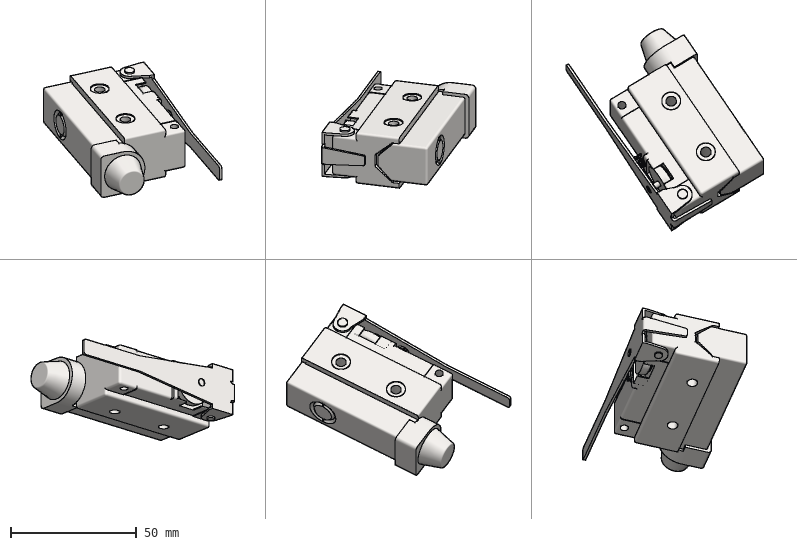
import cadquery as cq
import math


body_length = 54.5
edge_radius = 0.95
wide_half = 11.01
wide_bottom = 11.8
wide_top = 29.9
neck_half = 8.5
neck_low_top = 38.3
neck_tall_top = 39.5
neck_root = wide_top - 4.0
tall_length = 27.3
side_recess = 0.3
recess_start = 9.1
recess_end = 45.5

cover_half = 8.2
arrow_shoulder = 14.5
arrow_tip = 20.6
arrow_tip_half = 2.15
groove_half = 8.6
groove_tip = 21.8
groove_tip_half = 2.4
groove_depth = 1.9

knockout_x = 17.25
knockout_outer_radius = 6.05
knockout_valley_radius = 4.9
knockout_inner_radius = 4.05
knockout_depth = 1.1
knockout_web = 0.5

mount_hole_x = (14.5, 40.1)
mount_hole_y = 18.4
mount_hole_radius = 2.1
mount_recess_radius = 3.7
mount_recess_depth = 0.5
end_hole_x = 49.8
end_hole_y = 35.4
end_hole_radius = 1.6

gland_start = 51.9
gland_end = 61.5
gland_radius = 9.55
gland_axis_y = 7.95
gland_corner_radius = 1.6
gland_skirt_top = 9.3
nut_end = 70.6
nut_base_radius = 7.9
nut_tip_radius = 5.4
nut_edge_radius = 0.6

button_x = 16.5
button_slot_width = 7.55
button_slot_floor = 34.7
button_mouth_radius = 0.8
button_radius = 7.6
button_post_radius = 5.7
button_bottom = 35.2
button_top = 39.0
button_edge_radius = 1.7
button_pocket_length = 17.0
button_pocket_wall = 0.5

sheet = 1.0
lever_top = 43.7
lever_bottom = lever_top - sheet
lever_end = 78.0
lever_tip_half = 3.25
lever_taper_start_half = 7.7
lever_taper_end = 48.7
lever_corner_radius = 1.1
ear_outer = neck_half + sheet
ear_width = 10.65
ear_straight_bottom = 41.5
pivot_x = 4.6
pivot_y = 35.6
ear_radius = 3.8
pivot_heads = ((1, 2.0), (-1, 1.6))
pivot_head_height = 0.6

tongue_left = -1.5
tongue_end = 25.6
tongue_root_half = 3.5
tongue_tip_half = 2.1
tongue_tip_radius = 0.6
tongue_taper_start = 41.7
tongue_relief = 0.95
bend_outer_radius = 1.2

screw_stem_radius = 1.23
screw_head_radius = 2.15
screw_head_height = 0.95
screw_rivet_radius = 1.5
screw_rivet_height = 0.3

spring_x = 28.55
spring_outer_radius = 2.7
spring_wire_radius = 0.3
spring_pitch = 1.35
spring_well_clearance = 0.15


def block(x0, x1, y0, y1, half):
    """Box between two X and two Y values, symmetric about the middle plane."""
    box = cq.Workplane("XY").box(x1 - x0, y1 - y0, 2 * half, centered=(False, False, True))
    return box.translate((x0, y0, 0))


def post(x, z, y0, y1, radius):
    """Cylinder standing along Y."""
    return cq.Workplane(cq.Solid.makeCylinder(radius, y1 - y0, cq.Vector(x, y0, z), cq.Vector(0, 1, 0)))


def bore(x, y, z0, z1, radius):
    """Cylinder lying along Z."""
    return cq.Workplane(cq.Solid.makeCylinder(radius, z1 - z0, cq.Vector(x, y, z0), cq.Vector(0, 0, 1)))


def along_x(profile, x0, x1):
    """Extrude a closed list of (y, z) points from x0 to x1."""
    return cq.Workplane("YZ").polyline(profile).close().extrude(x1 - x0).translate((x0, 0, 0))


def arrow_profile(bottom, half, shoulder, tip, tip_half):
    """Points (y, z) of a rectangle that narrows to a flat tip."""
    return [
        (bottom, -half),
        (shoulder, -half),
        (tip, -tip_half),
        (tip, tip_half),
        (shoulder, half),
        (bottom, half),
    ]


def neck_slab(x0, x1, top, half):
    """Part of the neck; rounded on top and at those ends that are ends of the housing."""
    slab = block(x0, x1, neck_root, top, half)
    rounded = slab.edges(">Y and (>Z or <Z)")
    if x0 == 0:
        rounded = rounded.add(slab.edges("<X").edges("not <Y"))
    if x1 == body_length:
        rounded = rounded.add(slab.edges(">X").edges("not <Y"))
    return rounded.fillet(edge_radius)


def make_neck():
    """Narrow upper housing: a core with slightly raised pads at both ends."""
    core_half = neck_half - side_recess
    neck = neck_slab(0, body_length, neck_low_top, core_half)
    neck = neck.union(neck_slab(0, tall_length, neck_tall_top, core_half))
    neck = neck.union(neck_slab(0, recess_start, neck_tall_top, neck_half))
    return neck.union(neck_slab(recess_end, body_length, neck_low_top, neck_half))


def make_wide_block():
    """Middle of the housing, rounded everywhere except along its lower face."""
    wide = block(0, body_length, wide_bottom, wide_top, wide_half)
    return wide.faces("not <Y").edges("not <Y").fillet(edge_radius)


def make_cover_groove():
    """Recess in the housing end that leaves a gap around the cover's end."""
    profile = arrow_profile(wide_bottom, groove_half, arrow_shoulder, groove_tip, groove_tip_half)
    return along_x(profile, 0, groove_depth)


def make_cover():
    """Lower cover with an arrow-shaped section."""
    profile = arrow_profile(0, cover_half, arrow_shoulder, arrow_tip, arrow_tip_half)
    cover = along_x(profile, 0, body_length)
    long_edges = cover.edges("|X and <Y")
    end_edges = cover.faces("<X").edges("<Y or <Z or >Z")
    return long_edges.add(end_edges).fillet(edge_radius)


def make_knockout_groove():
    """V-shaped ring groove in the cover's lower face, bridged by two webs."""
    section = [
        (knockout_inner_radius, 0),
        (knockout_outer_radius, 0),
        (knockout_valley_radius, knockout_depth),
    ]
    ring = cq.Workplane("XY").polyline(section).close().revolve(360, (0, 0, 0), (0, 1, 0))
    web_half = knockout_web / 2
    webs = block(-web_half, web_half, 0, knockout_depth, knockout_outer_radius)
    return ring.cut(webs).translate((knockout_x, 0, 0))


def make_gland():
    """Round-topped gland block hooked under the housing end, with a conical nut."""
    gland_bottom = gland_axis_y - gland_radius
    lower = block(gland_start, gland_end, gland_bottom, gland_axis_y, gland_radius)
    lower = lower.edges("|X and <Y").fillet(gland_corner_radius)
    axis_start = cq.Vector(gland_start, gland_axis_y, 0)
    axis = cq.Vector(1, 0, 0)
    barrel = cq.Solid.makeCylinder(gland_radius, gland_end - gland_start, axis_start, axis)
    above_skirt = block(gland_start, body_length, gland_skirt_top, gland_axis_y + gland_radius, gland_radius)
    nut_start = cq.Vector(gland_end, gland_axis_y, 0)
    cone = cq.Solid.makeCone(nut_base_radius, nut_tip_radius, nut_end - gland_end, nut_start, axis)
    nut = cq.Workplane(cone).faces(">X").edges().fillet(nut_edge_radius)
    return lower.union(cq.Workplane(barrel)).cut(above_skirt).union(nut)


def make_button_slot():
    """Slot across the neck with a rounded mouth."""
    half = button_slot_width / 2
    mouth_half = half + button_mouth_radius
    mouth_bottom = neck_tall_top - button_mouth_radius
    bulge = button_mouth_radius * math.sqrt(0.5)
    slot = (
        cq.Workplane("XY")
        .moveTo(-half, button_slot_floor)
        .lineTo(half, button_slot_floor)
        .lineTo(half, mouth_bottom)
        .threePointArc((mouth_half - bulge, mouth_bottom + bulge), (mouth_half, neck_tall_top))
        .lineTo(-mouth_half, neck_tall_top)
        .threePointArc((bulge - mouth_half, mouth_bottom + bulge), (-half, mouth_bottom))
        .close()
        .extrude(neck_half, both=True)
    )
    return slot.translate((button_x, 0, 0))


def make_button_pocket():
    """Pocket behind the slot, open at the top, that holds the button."""
    half_length = button_pocket_length / 2
    half_width = neck_half - side_recess - button_pocket_wall
    return block(button_x - half_length, button_x + half_length, button_slot_floor, neck_tall_top, half_width)


def make_button():
    """Round push button, rounded underneath, on a narrower post."""
    cap = post(button_x, 0, button_bottom, button_top, button_radius)
    cap = cap.edges("<Y").fillet(button_edge_radius)
    return cap.union(post(button_x, 0, button_slot_floor, button_bottom, button_post_radius))


def make_housing():
    spring_well_radius = spring_outer_radius + spring_well_clearance
    housing = make_wide_block().union(make_neck())
    housing = housing.cut(make_cover_groove())
    housing = housing.union(make_cover())
    housing = housing.cut(make_knockout_groove())
    housing = housing.union(make_gland())
    housing = housing.cut(make_button_slot()).cut(make_button_pocket())
    housing = housing.union(make_button())
    housing = housing.cut(post(spring_x, 0, neck_low_top, neck_tall_top, spring_well_radius))
    for x in mount_hole_x:
        recess_floor = wide_half - mount_recess_depth
        housing = housing.cut(bore(x, mount_hole_y, -wide_half, wide_half, mount_hole_radius))
        housing = housing.cut(bore(x, mount_hole_y, recess_floor, wide_half, mount_recess_radius))
    return housing.cut(bore(end_hole_x, end_hole_y, -neck_half, neck_half, end_hole_radius))


def make_tongue_relief(side):
    """Notch beside the tongue's root, with a round inner corner on the tongue's side."""
    center_z = side * (tongue_root_half + tongue_relief)
    bulge = tongue_relief * math.sqrt(0.5)
    notch = (
        cq.Workplane("XZ")
        .lineTo(tongue_relief, 0)
        .threePointArc((bulge, -side * bulge), (0, -side * tongue_relief))
        .close()
        .extrude(-sheet)
    )
    return notch.translate((0, 0, center_z))


def make_lever_plate():
    """Flat lever: full width between the ears, then tapering to a straight strip."""
    outline = [
        (0, -ear_outer),
        (ear_width, -ear_outer),
        (ear_width, -lever_taper_start_half),
        (lever_taper_end, -lever_tip_half),
        (lever_end, -lever_tip_half),
        (lever_end, lever_tip_half),
        (lever_taper_end, lever_tip_half),
        (ear_width, lever_taper_start_half),
        (ear_width, ear_outer),
        (0, ear_outer),
    ]
    plate = cq.Workplane("XZ").polyline(outline).close().extrude(-sheet)
    plate = plate.edges("|Y and >X").fillet(lever_corner_radius)
    for side in (1, -1):
        plate = plate.cut(make_tongue_relief(side))
    return plate.translate((0, lever_bottom, 0))


def make_ear(side):
    """Ear folded down beside the neck."""
    ear = (
        cq.Workplane("XY")
        .moveTo(0, lever_top)
        .lineTo(ear_width, lever_top)
        .lineTo(ear_width, ear_straight_bottom)
        .lineTo(pivot_x + ear_radius, pivot_y)
        .threePointArc((pivot_x, pivot_y - ear_radius), (pivot_x - ear_radius, pivot_y))
        .lineTo(0, ear_straight_bottom)
        .close()
        .extrude(side * sheet)
    )
    return ear.translate((0, 0, side * neck_half))


def make_pivot_head(side, radius):
    """Round pivot head on the outside of an ear."""
    base = side * ear_outer
    tip = side * (ear_outer + pivot_head_height)
    return bore(pivot_x, pivot_y, min(base, tip), max(base, tip), radius)


def make_tongue():
    """Tongue at the hinge end: a bend, then a tapering leaf."""
    inner_radius = bend_outer_radius - sheet
    center_x = tongue_left + bend_outer_radius
    center_y = lever_top - bend_outer_radius
    diagonal = math.sqrt(0.5)
    bend = (
        cq.Workplane("XY")
        .moveTo(0, lever_top)
        .lineTo(center_x, lever_top)
        .threePointArc(
            (center_x - bend_outer_radius * diagonal, center_y + bend_outer_radius * diagonal),
            (tongue_left, center_y),
        )
        .lineTo(tongue_left + sheet, center_y)
        .threePointArc(
            (center_x - inner_radius * diagonal, center_y + inner_radius * diagonal),
            (center_x, lever_bottom),
        )
        .lineTo(0, lever_bottom)
        .close()
        .extrude(tongue_root_half, both=True)
    )
    leaf_outline = [
        (center_y, -tongue_root_half),
        (center_y, tongue_root_half),
        (tongue_taper_start, tongue_root_half),
        (tongue_end, tongue_tip_half),
        (tongue_end, -tongue_tip_half),
        (tongue_taper_start, -tongue_root_half),
    ]
    leaf = along_x(leaf_outline, tongue_left, tongue_left + sheet)
    leaf = leaf.edges("|X and <Y").fillet(tongue_tip_radius)
    return bend.union(leaf)


def make_screw():
    """Adjusting screw: riveted through the lever, its stem resting on the button."""
    head_bottom = lever_bottom - screw_head_height
    rivet_top = lever_top + screw_rivet_height
    stem = post(button_x, 0, button_top, head_bottom, screw_stem_radius)
    head = post(button_x, 0, head_bottom, lever_bottom, screw_head_radius)
    rivet = post(button_x, 0, lever_bottom, rivet_top, screw_rivet_radius)
    return stem.union(head).union(rivet)


def make_spring():
    """Coil spring from the housing step up into the lever."""
    coil_radius = spring_outer_radius - spring_wire_radius
    coil_bottom = neck_low_top + spring_wire_radius
    coil_height = lever_bottom + sheet / 2 - coil_bottom
    path = cq.Wire.makeHelix(spring_pitch, coil_height, coil_radius)
    wire = cq.Workplane("XZ", origin=(coil_radius, 0, 0)).circle(spring_wire_radius)
    coil = wire.sweep(cq.Workplane(path), isFrenet=True)
    return coil.rotate((0, 0, 0), (1, 0, 0), -90).translate((spring_x, coil_bottom, 0))


def make_lever():
    lever = make_lever_plate().union(make_tongue())
    for side, head_radius in pivot_heads:
        lever = lever.union(make_ear(side)).union(make_pivot_head(side, head_radius))
    return lever.union(make_screw()).union(make_spring())


housing = make_housing()
lever = make_lever()

result = cq.Compound.makeCompound([housing.val(), lever.val()])